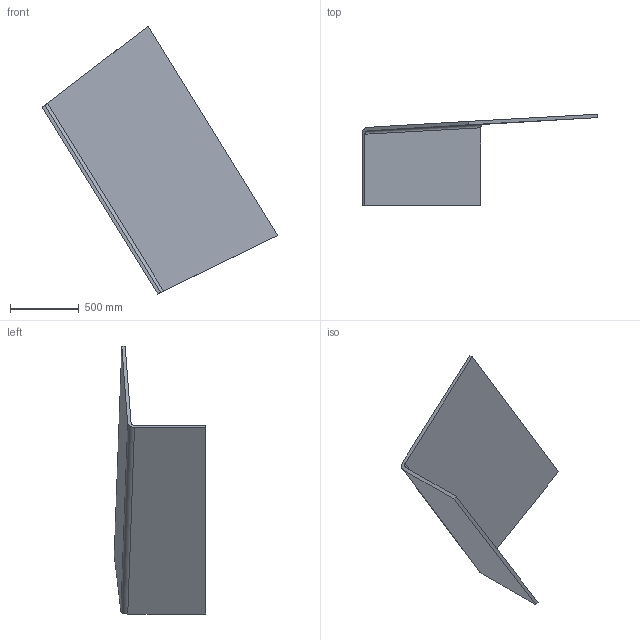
import cadquery as cq
import math

thickness = 25.0
inner_bend_radius = 25.0
outer_bend_radius = inner_bend_radius + thickness

bend_length = 1601.9
flange_depth = 567.74
main_plate_width = 969.93
flare = 98.0
slope = math.radians(31.72)
yaw = math.radians(3.33)
blank_margin = 300.0

down_slope = cq.Vector(math.sin(slope), 0, -math.cos(slope))
across_slope = cq.Vector(math.cos(slope), 0, math.sin(slope))
main_plate_normal = cq.Vector(math.sin(yaw), -math.cos(yaw), 0)
bend_axis = (down_slope + cq.Vector(0, math.sin(slope) * math.tan(yaw), 0)).normalized()
main_plate_direction = main_plate_normal.cross(bend_axis)
flange_direction = bend_axis.cross(across_slope)

lean = math.atan2(-main_plate_direction.dot(flange_direction), main_plate_direction.dot(across_slope))


def bent_blank():
    """Oversized L section extruded along the bend axis, with both bend radii."""
    main_leg = main_plate_width + blank_margin
    flange_leg = flange_depth + blank_margin
    far_x = main_leg * math.cos(lean)
    far_y = -main_leg * math.sin(lean)
    inner_corner_y = thickness / math.cos(lean) - thickness * math.tan(lean)
    section_plane = cq.Plane(
        origin=(bend_axis * -blank_margin).toTuple(),
        xDir=across_slope.toTuple(),
        normal=bend_axis.toTuple(),
    )
    section = [
        (0, 0),
        (far_x, far_y),
        (far_x + thickness * math.sin(lean), far_y + thickness * math.cos(lean)),
        (thickness, inner_corner_y),
        (thickness, flange_leg),
        (0, flange_leg),
    ]
    blank = (
        cq.Workplane(section_plane)
        .polyline(section)
        .close()
        .extrude(bend_length + 2 * blank_margin)
    )
    outer_corner = bend_axis * (bend_length / 2)
    inner_corner = outer_corner + across_slope * thickness + flange_direction * inner_corner_y
    inner_edge = cq.NearestToPointSelector(inner_corner.toTuple())
    outer_edge = cq.NearestToPointSelector(outer_corner.toTuple())
    blank = blank.edges(inner_edge).fillet(inner_bend_radius)
    return blank.edges(outer_edge).fillet(outer_bend_radius)


def trim_volume():
    """Flared trapezoid, extruded along Y down to the free edge of the flange."""
    outline_plane = cq.Plane(
        origin=(0, flange_depth, 0),
        xDir=down_slope.toTuple(),
        normal=(0, -1, 0),
    )
    outline = [
        (0, 0),
        (-flare, main_plate_width),
        (bend_length + flare, main_plate_width),
        (bend_length, 0),
    ]
    return cq.Workplane(outline_plane).polyline(outline).close().extrude(2 * flange_depth)


result = bent_blank().intersect(trim_volume())